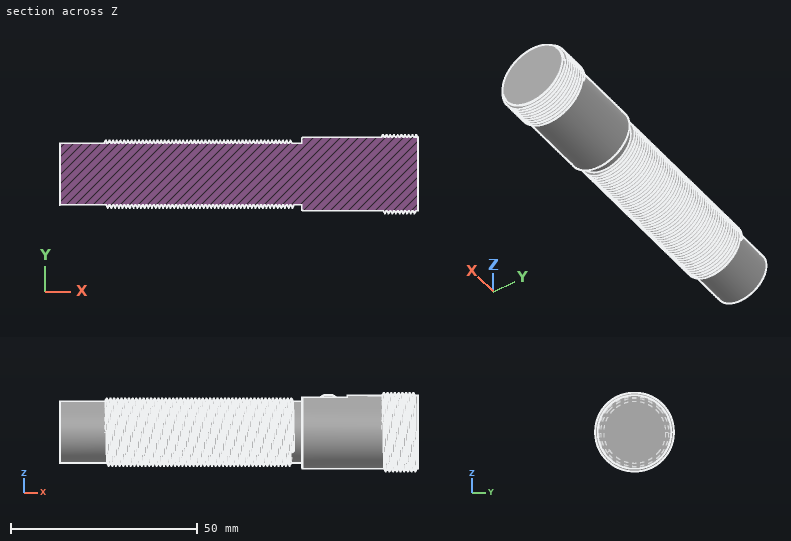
import cadquery as cq
import math

length = 96.05
barrel_diameter = 16.6
head_start = 64.8
head_diameter = 19.8
head_edge_chamfer = 0.3

mount_thread_start = 12.3
mount_thread_travel = 50.1
mount_thread_turns = 50.6
mount_thread_diameter = 18.25

plug_thread_start = 86.6
plug_thread_travel = 8.9
plug_thread_turns = 9
plug_thread_diameter = 21.2

ridge_base_share = 0.88
ridge_embed = 0.05

flat_width = 6.1
flat_end = 77.0
flat_height = math.sqrt((head_diameter / 2) ** 2 - (flat_width / 2) ** 2)

lamp_x = 71.9
lamp_base_diameter = 4.2
lamp_top_diameter = 2.2
lamp_height = 0.6


def cylinder_along_x(start, end, diameter):
    return cq.Workplane("YZ", origin=(start, 0, 0)).circle(diameter / 2).extrude(end - start)


def thread_ridge(start, travel, turns, core_diameter, crest_diameter):
    """Right-hand V ridge around the X axis; its crest starts on the +Y side at X = start."""
    pitch = travel / turns
    core_radius = core_diameter / 2
    crest_radius = crest_diameter / 2
    ridge_height = crest_radius - core_radius
    buried_radius = core_radius - ridge_embed
    half_base = pitch * ridge_base_share / 2 * (ridge_height + ridge_embed) / ridge_height

    helix = cq.Wire.makeHelix(pitch, travel, core_radius)
    ridge = (
        cq.Workplane("XZ")
        .polyline([(buried_radius, -half_base), (crest_radius, 0), (buried_radius, half_base)])
        .close()
        .sweep(cq.Workplane(obj=helix), isFrenet=True)
    )
    ridge = ridge.rotate((0, 0, 0), (0, 1, 0), 90)
    ridge = ridge.rotate((0, 0, 0), (1, 0, 0), 90)
    return ridge.translate((start, 0, 0))


def make_barrel():
    barrel = cylinder_along_x(0, head_start, barrel_diameter)
    thread = thread_ridge(
        mount_thread_start,
        mount_thread_travel,
        mount_thread_turns,
        barrel_diameter,
        mount_thread_diameter,
    )
    return barrel.union(thread)


def make_lamp():
    return (
        cq.Workplane("XY", origin=(lamp_x, 0, flat_height))
        .circle(lamp_base_diameter / 2)
        .workplane(offset=lamp_height)
        .circle(lamp_top_diameter / 2)
        .loft()
    )


def make_head():
    head = cylinder_along_x(head_start, length, head_diameter)
    head = head.faces("<X").chamfer(head_edge_chamfer)
    above_flat = cq.Workplane("XY", origin=(head_start, 0, flat_height)).box(
        flat_end - head_start, head_diameter, head_diameter, centered=(False, True, False)
    )
    thread = thread_ridge(
        plug_thread_start,
        plug_thread_travel,
        plug_thread_turns,
        head_diameter,
        plug_thread_diameter,
    )
    return head.cut(above_flat).union(make_lamp()).union(thread)


result = make_barrel().union(make_head())